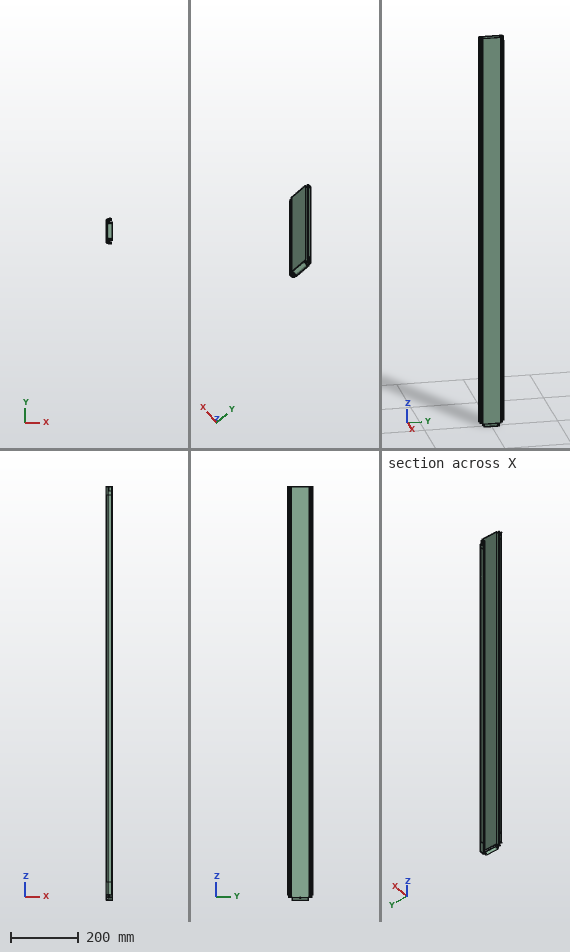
import cadquery as cq
import math

LENGTH = 1219.2
DEPTH = 19.7
HALF_HEIGHT = 38.1
TOP_Z = LENGTH / 2
BACK_X = -DEPTH / 2
FRONT_X = DEPTH / 2

SHEET = 1.7
CAGE_SHEET = 0.6
CLEARANCE = 0.2
SAME_POINT = 1e-6

OUTER_RACE = 12.0
OUTER_RACE_X = 2.3
OUTER_RACE_START = 30.0
OUTER_RACE_END = 23.0

MIDDLE_X = BACK_X + SHEET + CAGE_SHEET + 2 * CLEARANCE
MIDDLE_HALF_HEIGHT = 34.2
MIDDLE_RACE = 9.0
MIDDLE_RACE_X = 4.3
MIDDLE_RACE_START = 44.0
MIDDLE_RACE_END = 17.0

INNER_HALF_HEIGHT = 27.6
INNER_FLANGE_X = -1.5

OUTER_BOTTOM_Z = -593.0
MIDDLE_BOTTOM_Z = -600.3
CAGE_END_GAP = 25.0
CAGE_LENGTH = 1140.0

OUTER_NOTCH_X = -2.0
OUTER_NOTCH_LENGTH = 12.5
MIDDLE_NOTCH_X = 2.0
MIDDLE_NOTCH_LENGTH = 12.0

LIP_HALF_WIDTH = 24.0
LIP_BEND = 5.5
LIP_END_X = FRONT_X
LIP_RIM_HEIGHT = 8.0
LIP_RIM_BEND = 3.5

HOLE_DIAMETER = 6.4
SMALL_HOLE_DIAMETER = 3.0
HOLE_DISTANCES = [
    12.8, 31.2, 58.8, 77.1, 90.0, 247.9, 596.8, 609.6, 958.5,
    971.4, 1134.8, 1145.8, 1158.7, 1188.0, 1200.8,
]
SMALL_HOLE_DISTANCES = [49.6, 1125.6, 1210.5]


def polar(center, radius, degrees):
    """Point at an angle measured from -X towards +Y."""
    angle = math.radians(degrees)
    return (center[0] - radius * math.cos(angle), center[1] + radius * math.sin(angle))


def mirrored(point):
    return (point[0], -point[1])


def channel(web_x, half_height, race, race_x, race_start, race_end, depth_in, sheet, z_range):
    """Channel with its web at -X, each flange a quarter bend followed by a bulging ball race.

    The section runs from depth_in to depth_in + sheet, measured inwards from the shape
    that the web, the half height and the race describe.
    """
    race_center = (race_x, half_height - race)
    first_angle = 90 - race_start
    last_angle = 90 + race_end
    bend_end = polar(race_center, race, first_angle)
    bend = bend_end[0] - web_x
    bend_center = (bend_end[0], bend_end[1] - bend)

    def side(depth):
        bend_radius = bend - depth
        race_radius = race - depth
        return [
            polar(bend_center, bend_radius, 0),
            polar(bend_center, bend_radius, 45),
            polar(bend_center, bend_radius, 90),
            polar(race_center, race_radius, first_angle),
            polar(race_center, race_radius, (first_angle + last_angle) / 2),
            polar(race_center, race_radius, last_angle),
        ]

    def outwards(section, points):
        """From the web to the flange end."""
        section = section.lineTo(*points[0]).threePointArc(points[1], points[2])
        if math.dist(points[2], points[3]) > SAME_POINT:
            section = section.lineTo(*points[3])
        return section.threePointArc(points[4], points[5])

    def inwards(section, points):
        """From the flange end to the web."""
        section = section.lineTo(*points[5]).threePointArc(points[4], points[3])
        if math.dist(points[2], points[3]) > SAME_POINT:
            section = section.lineTo(*points[2])
        return section.threePointArc(points[1], points[0])

    outside = side(depth_in)
    inside = side(depth_in + sheet)
    section = cq.Workplane("XY", origin=(0, 0, z_range[0])).moveTo(*mirrored(outside[0]))
    section = outwards(section, outside)
    section = inwards(section, inside)
    section = outwards(section, [mirrored(point) for point in inside])
    section = inwards(section, [mirrored(point) for point in outside])
    return section.close().extrude(z_range[1] - z_range[0])


def box(x_range, y_range, z_range):
    size = [high - low for low, high in (x_range, y_range, z_range)]
    return cq.Workplane("XY").box(*size, centered=False).translate(
        (x_range[0], y_range[0], z_range[0])
    )


def across(x_range, z_range):
    """Block over the full height of the slide, used to cut both flanges back."""
    return box(x_range, (-HALF_HEIGHT, HALF_HEIGHT), z_range)


def outer_channel(depth_in, sheet, z_range):
    return channel(
        BACK_X, HALF_HEIGHT, OUTER_RACE, OUTER_RACE_X, OUTER_RACE_START, OUTER_RACE_END,
        depth_in, sheet, z_range,
    )


def middle_channel(depth_in, sheet, z_range):
    return channel(
        MIDDLE_X, MIDDLE_HALF_HEIGHT, MIDDLE_RACE, MIDDLE_RACE_X, MIDDLE_RACE_START,
        MIDDLE_RACE_END, depth_in, sheet, z_range,
    )


def stop_lip():
    """Web tongue that bends forward under the other members, with upturned rims."""
    bend_z = -TOP_Z + LIP_BEND
    lip_width = 2 * LIP_HALF_WIDTH
    tongue = box(
        (BACK_X, BACK_X + SHEET),
        (-LIP_HALF_WIDTH, LIP_HALF_WIDTH),
        (bend_z, OUTER_BOTTOM_Z),
    )
    bend_center = (BACK_X + LIP_BEND, bend_z)
    inside_bend = LIP_BEND - SHEET
    diagonal = -45
    bend = (
        cq.Workplane("XZ", origin=(0, LIP_HALF_WIDTH, 0))
        .moveTo(BACK_X, bend_z)
        .threePointArc(polar(bend_center, LIP_BEND, diagonal), (bend_center[0], -TOP_Z))
        .lineTo(bend_center[0], -TOP_Z + SHEET)
        .threePointArc(polar(bend_center, inside_bend, diagonal), (BACK_X + SHEET, bend_z))
        .close()
        .extrude(lip_width)
    )
    tray = box(
        (bend_center[0], LIP_END_X),
        (-LIP_HALF_WIDTH, LIP_HALF_WIDTH),
        (-TOP_Z, -TOP_Z + LIP_RIM_HEIGHT),
    )
    tray = tray.edges("|X and <Z").fillet(LIP_RIM_BEND)
    inside_width = LIP_HALF_WIDTH - SHEET
    hollow = box(
        (bend_center[0], LIP_END_X),
        (-inside_width, inside_width),
        (-TOP_Z + SHEET, -TOP_Z + LIP_RIM_HEIGHT),
    )
    return tongue.union(bend).union(tray.cut(hollow))


def web_holes(distances, diameter):
    points = [(0, TOP_Z - distance) for distance in distances]
    return (
        cq.Workplane("YZ", origin=(BACK_X, 0, 0))
        .pushPoints(points)
        .circle(diameter / 2)
        .extrude(SHEET)
    )


def outer_member():
    body = outer_channel(0, SHEET, (OUTER_BOTTOM_Z, TOP_Z))
    notch = across((OUTER_NOTCH_X, FRONT_X), (TOP_Z - OUTER_NOTCH_LENGTH, TOP_Z))
    body = body.cut(notch).union(stop_lip())
    body = body.cut(web_holes(HOLE_DISTANCES, HOLE_DIAMETER))
    return body.cut(web_holes(SMALL_HOLE_DISTANCES, SMALL_HOLE_DIAMETER))


def middle_member():
    body = middle_channel(0, SHEET, (MIDDLE_BOTTOM_Z, TOP_Z))
    notch_top_z = MIDDLE_BOTTOM_Z + MIDDLE_NOTCH_LENGTH
    return body.cut(across((MIDDLE_NOTCH_X, FRONT_X), (MIDDLE_BOTTOM_Z, notch_top_z)))


def inner_member():
    z_range = (MIDDLE_BOTTOM_Z, TOP_Z)
    inside_height = INNER_HALF_HEIGHT - SHEET
    body = box((INNER_FLANGE_X, FRONT_X), (-INNER_HALF_HEIGHT, INNER_HALF_HEIGHT), z_range)
    return body.cut(box((INNER_FLANGE_X, FRONT_X - SHEET), (-inside_height, inside_height), z_range))


cage_top_z = TOP_Z - CAGE_END_GAP
cage_z_range = (cage_top_z - CAGE_LENGTH, cage_top_z)
cage_depth = SHEET + CLEARANCE

outer = outer_member()
outer_cage = outer_channel(cage_depth, CAGE_SHEET, cage_z_range)
middle = middle_member()
inner_cage = middle_channel(cage_depth, CAGE_SHEET, cage_z_range)
inner = inner_member()

bodies = [outer, outer_cage, middle, inner_cage, inner]
result = cq.Compound.makeCompound([body.solids().val() for body in bodies])